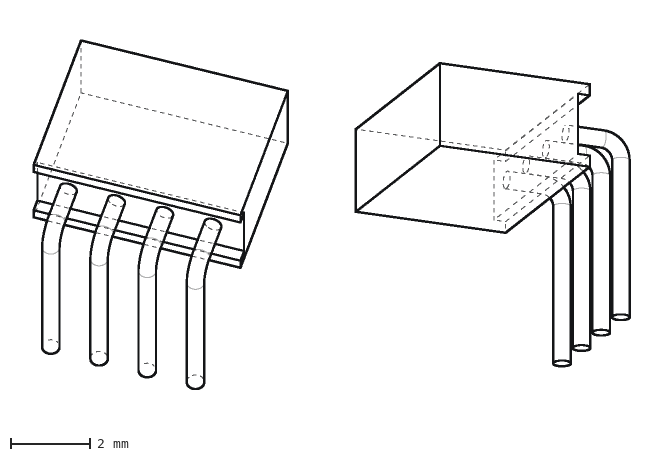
import cadquery as cq

housing_width = 5.46
housing_depth = 4.11
housing_height = 2.215
lip_thickness = 0.3
channel_depth = 0.32

pin_count = 4
pin_pitch = 1.27
pin_diameter = 0.45
pin_bend_radius = 0.5
pin_axis_height = 0.0
pin_reach = 1.425
overall_height = 5.81

channel_face_y = channel_depth
pin_leg_y = pin_diameter / 2 - pin_reach
pin_tip_z = housing_height / 2 - overall_height


def make_housing():
    block = cq.Workplane("XY").box(
        housing_width, housing_depth, housing_height, centered=(True, False, True)
    )
    channel = cq.Workplane("XY").box(
        housing_width,
        channel_depth,
        housing_height - 2 * lip_thickness,
        centered=(True, False, True),
    )
    return block.cut(channel)


def make_pin(x):
    """Sweep a wire from the channel face, around the bend and down to its tip."""
    bend_start_y = pin_leg_y + pin_bend_radius
    bend_end_z = pin_axis_height - pin_bend_radius
    path = (
        cq.Workplane("YZ", origin=(x, 0, 0))
        .moveTo(channel_face_y, pin_axis_height)
        .lineTo(bend_start_y, pin_axis_height)
        .tangentArcPoint((pin_leg_y, bend_end_z), relative=False)
        .lineTo(pin_leg_y, pin_tip_z)
    )
    return (
        cq.Workplane("XZ", origin=(x, channel_face_y, pin_axis_height))
        .circle(pin_diameter / 2)
        .sweep(path)
    )


housing = make_housing()

first_pin_x = -(pin_count - 1) * pin_pitch / 2
pins = [make_pin(first_pin_x + i * pin_pitch) for i in range(pin_count)]

result = cq.Compound.makeCompound([housing.val(), *[pin.val() for pin in pins]])